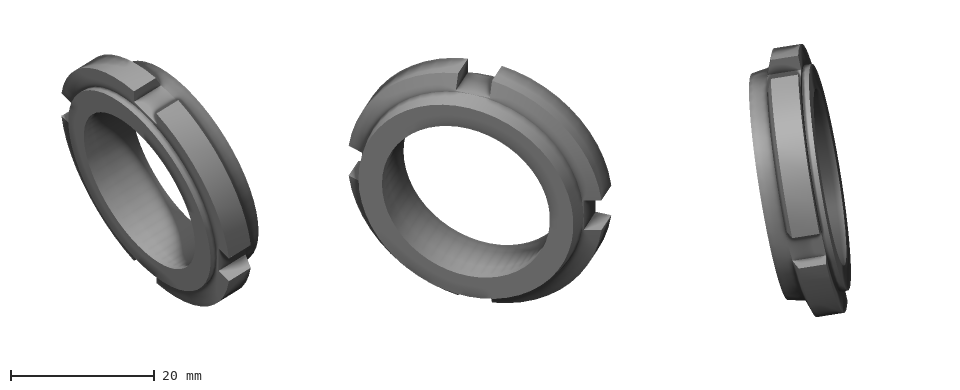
import cadquery as cq
import math

slot_span = 37.67
slot_width = 5.05
bore_radius = 12.5
collar_radius = 16.0
slot_floor_radius = 16.5
taper_radius = slot_floor_radius
flange_radius = math.hypot(slot_span / 2, slot_width / 2)
slot_count = 4

collar_end = 1.0
flange_end = 4.9
cone_end = 5.88
rear_face = 8.5


def ring_body():
    """Revolve the stepped and tapered half section about Y."""
    return (
        cq.Workplane("XY")
        .moveTo(bore_radius, 0)
        .lineTo(collar_radius, 0)
        .lineTo(collar_radius, collar_end)
        .lineTo(flange_radius, collar_end)
        .lineTo(flange_radius, flange_end)
        .lineTo(taper_radius, cone_end)
        .lineTo(collar_radius, rear_face)
        .lineTo(bore_radius, rear_face)
        .close()
        .revolve(360, (0, 0, 0), (0, 1, 0))
    )


def spanner_slot(angle):
    """Flat-bottomed slot cutter across the full ring width at the given angle about Y."""
    cutter = cq.Workplane("XY").box(
        slot_floor_radius, rear_face, slot_width, centered=(False, False, True)
    )
    return cutter.translate((slot_floor_radius, 0, 0)).rotate((0, 0, 0), (0, 1, 0), angle)


result = ring_body()
for index in range(slot_count):
    result = result.cut(spanner_slot(index * 360 / slot_count))